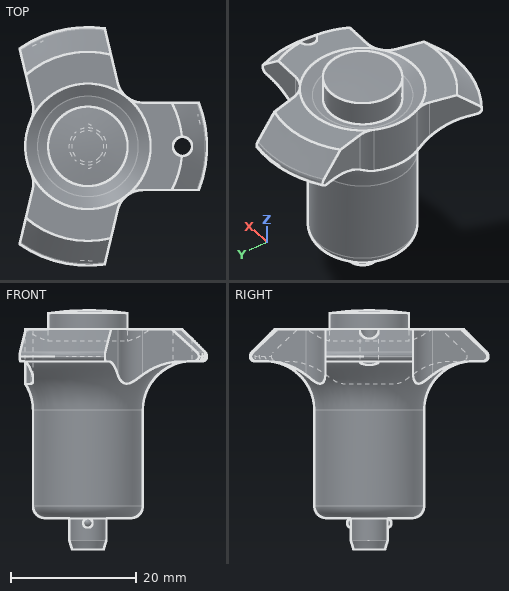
import cadquery as cq
import math

pin_radius = 2.98
pin_tip_radius = 2.52
pin_tip_height = 1.5
ball_radius = 0.75
ball_reach = 3.55
ball_height = 4.25

body_radius = 8.8
body_bottom = 5.0
body_edge_radius = 2.0
flare_start = 22.27
flare_radius = 7.75
head_bottom = flare_start + flare_radius
head_top = 35.15
head_radius = 19.02
lip_lower_radius = 0.75
lip_upper_radius = 1.0

hub_radius = 10.0
arm_half_width = 7.0
blend_radius = 4.0
tether_hole_diameter = 3.0
tether_hole_offset = 15.1

button_radius = 6.35
button_edge = 37.7
button_top = 38.2
recess_step_radius = 8.02
recess_step_depth = 1.25
recess_depth = 1.9

blend_angle = math.degrees(math.asin((arm_half_width + blend_radius) / (hub_radius + blend_radius)))
arm_angles = (0, 2 * blend_angle, -2 * blend_angle)


def polar(radius, degrees):
    angle = math.radians(degrees)
    return (radius * math.cos(angle), radius * math.sin(angle))


def make_handle_blank():
    """Solid of revolution: cylinder, flare, rounded lip and 45 degree bevel."""
    diagonal = math.sqrt(0.5)
    lip_height = head_bottom + lip_lower_radius
    lip_lower_centre = head_radius - lip_lower_radius
    lip_upper_centre = head_radius - lip_upper_radius
    lip_upper_mid = math.radians(22.5)
    bevel_start_radius = lip_upper_centre + lip_upper_radius * diagonal
    bevel_start_height = lip_height + lip_upper_radius * diagonal
    bevel_top_radius = bevel_start_radius - (head_top - bevel_start_height)
    flare_centre_radius = body_radius + flare_radius
    edge_centre_radius = body_radius - body_edge_radius
    edge_centre_height = body_bottom + body_edge_radius
    return (
        cq.Workplane("XZ")
        .moveTo(0, body_bottom)
        .lineTo(edge_centre_radius, body_bottom)
        .threePointArc(
            (edge_centre_radius + body_edge_radius * diagonal, edge_centre_height - body_edge_radius * diagonal),
            (body_radius, edge_centre_height),
        )
        .lineTo(body_radius, flare_start)
        .threePointArc(
            (flare_centre_radius - flare_radius * diagonal, flare_start + flare_radius * diagonal),
            (flare_centre_radius, head_bottom),
        )
        .lineTo(lip_lower_centre, head_bottom)
        .threePointArc(
            (lip_lower_centre + lip_lower_radius * diagonal, lip_height - lip_lower_radius * diagonal),
            (head_radius, lip_height),
        )
        .threePointArc(
            (
                lip_upper_centre + lip_upper_radius * math.cos(lip_upper_mid),
                lip_height + lip_upper_radius * math.sin(lip_upper_mid),
            ),
            (bevel_start_radius, bevel_start_height),
        )
        .lineTo(bevel_top_radius, head_top)
        .lineTo(0, head_top)
        .close()
        .revolve(360, (0, 0, 0), (0, 1, 0))
    )


def make_arm(angle):
    """Straight arm with a concave blend to the hub circle on both sides."""
    centre_x, centre_y = polar(hub_radius + blend_radius, blend_angle)
    hub_x, hub_y = polar(hub_radius, blend_angle)
    mid_x, mid_y = polar(blend_radius, (270 + 180 + blend_angle) / 2)
    mid_x += centre_x
    mid_y += centre_y
    return (
        cq.Workplane("XY")
        .workplane(offset=body_bottom)
        .moveTo(0, 0)
        .lineTo(hub_x, hub_y)
        .threePointArc((mid_x, mid_y), (centre_x, arm_half_width))
        .lineTo(head_radius, arm_half_width)
        .lineTo(head_radius, -arm_half_width)
        .lineTo(centre_x, -arm_half_width)
        .threePointArc((mid_x, -mid_y), (hub_x, -hub_y))
        .close()
        .extrude(head_top - body_bottom)
        .rotate((0, 0, 0), (0, 0, 1), angle)
    )


def make_outline_prism():
    prism = cq.Workplane("XY").workplane(offset=body_bottom).circle(hub_radius).extrude(head_top - body_bottom)
    for angle in arm_angles:
        prism = prism.union(make_arm(angle))
    return prism


def make_recess():
    """Dished recess: steep outer cone, then a shallower one under the button."""
    step_height = head_top - recess_step_depth
    floor_height = head_top - recess_depth
    return (
        cq.Workplane("XZ")
        .moveTo(0, head_top)
        .lineTo(hub_radius, head_top)
        .lineTo(recess_step_radius, step_height)
        .lineTo(button_radius, floor_height)
        .lineTo(0, floor_height)
        .close()
        .revolve(360, (0, 0, 0), (0, 1, 0))
    )


def make_button():
    base_height = head_top - recess_depth
    dome_rise = button_top - button_edge
    dome_radius = (button_radius**2 + dome_rise**2) / (2 * dome_rise)
    mid_radius = button_radius / 2
    mid_height = button_top - dome_radius + math.sqrt(dome_radius**2 - mid_radius**2)
    return (
        cq.Workplane("XZ")
        .moveTo(0, base_height)
        .lineTo(button_radius, base_height)
        .lineTo(button_radius, button_edge)
        .threePointArc((mid_radius, mid_height), (0, button_top))
        .close()
        .revolve(360, (0, 0, 0), (0, 1, 0))
    )


def make_pin():
    """Pin with a tapered tip and a locking ball on each Y side."""
    pin = (
        cq.Workplane("XZ")
        .polyline([(0, 0), (pin_tip_radius, 0), (pin_radius, pin_tip_height),
                   (pin_radius, body_bottom), (0, body_bottom)])
        .close()
        .revolve(360, (0, 0, 0), (0, 1, 0))
    )
    ball_offset = ball_reach - ball_radius
    for side in (-1, 1):
        ball = cq.Workplane("XY").sphere(ball_radius).translate((0, side * ball_offset, ball_height))
        pin = pin.union(ball)
    return pin


tether_hole = (
    cq.Workplane("XY")
    .workplane(offset=body_bottom)
    .center(tether_hole_offset, 0)
    .circle(tether_hole_diameter / 2)
    .extrude(head_top - body_bottom)
)

handle = make_handle_blank().intersect(make_outline_prism()).cut(make_recess()).cut(tether_hole)
result = handle.union(make_button()).union(make_pin())